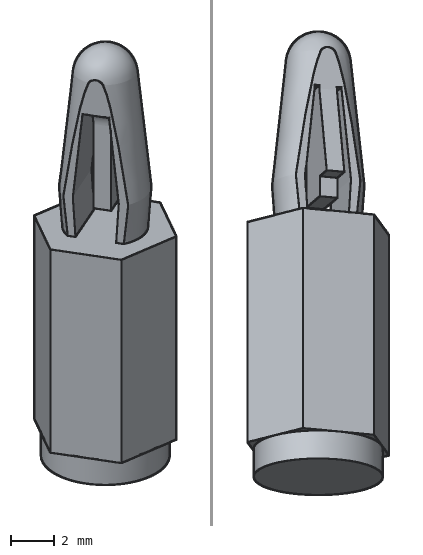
import cadquery as cq
import math

across_flats = 6.0
across_corners = across_flats / math.cos(math.radians(30))
foot_height = 1.35
body_top = 12.02

total_height = 21.5
widest_z = 14.08
dome_seam_z = 20.19
pin_base_radius = 2.0
pin_widest_radius = 2.15
dome_seam_radius = 1.5
flat_half_width = 1.46

slot_top_z = 18.51
slot_base_half_width = 0.99
slot_widest_half_width = 1.12
slot_top_half_width = 0.65

tongue_width = 0.85
tongue_bottom_z = 13.12
tongue_back_y = 1.53
tongue_root_radius = 0.99
tongue_front_y = tongue_root_radius - flat_half_width
barb_tip_y = 2.55
barb_top_z = 18.35


def make_body():
    foot = cq.Workplane("XY").circle(across_flats / 2).extrude(foot_height)
    column = (
        cq.Workplane("XY", origin=(0, 0, foot_height))
        .polygon(6, across_corners)
        .extrude(body_top - foot_height)
    )
    return foot.union(column)


def make_pin():
    cap_height = total_height - dome_seam_z
    dome_radius = (dome_seam_radius**2 + cap_height**2) / (2 * cap_height)
    dome_center_z = total_height - dome_radius
    mid_angle = (math.asin((dome_seam_z - dome_center_z) / dome_radius) + math.pi / 2) / 2
    dome_mid = (
        dome_radius * math.cos(mid_angle),
        dome_center_z + dome_radius * math.sin(mid_angle),
    )
    barrel = (
        cq.Workplane("XZ")
        .moveTo(0, body_top)
        .lineTo(pin_base_radius, body_top)
        .lineTo(pin_widest_radius, widest_z)
        .lineTo(dome_seam_radius, dome_seam_z)
        .threePointArc(dome_mid, (0, total_height))
        .close()
        .revolve(360, (0, 0, 0), (0, 1, 0))
    )
    between_flats = cq.Workplane("XY").box(
        2 * pin_widest_radius, 2 * flat_half_width, total_height, centered=(True, True, False)
    )
    return barrel.intersect(between_flats)


def make_slot():
    right_side = [
        (slot_base_half_width, body_top),
        (slot_widest_half_width, widest_z),
        (slot_top_half_width, slot_top_z),
    ]
    left_side = [(-x, z) for x, z in reversed(right_side)]
    return (
        cq.Workplane("XZ")
        .polyline(right_side + left_side)
        .close()
        .extrude(pin_widest_radius, both=True)
    )


def make_tongue():
    root_start_y = -flat_half_width
    root_end_z = slot_top_z - tongue_root_radius
    root_mid_offset = tongue_root_radius * math.sin(math.radians(45))
    root_mid = (root_start_y + root_mid_offset, root_end_z + root_mid_offset)
    return (
        cq.Workplane("YZ")
        .moveTo(root_start_y, slot_top_z)
        .threePointArc(root_mid, (tongue_front_y, root_end_z))
        .lineTo(tongue_front_y, tongue_bottom_z)
        .lineTo(tongue_back_y, tongue_bottom_z)
        .lineTo(tongue_back_y, widest_z)
        .lineTo(barb_tip_y, widest_z)
        .lineTo(flat_half_width, barb_top_z)
        .lineTo(flat_half_width, slot_top_z)
        .close()
        .extrude(tongue_width / 2, both=True)
    )


result = make_body().union(make_pin().cut(make_slot())).union(make_tongue())